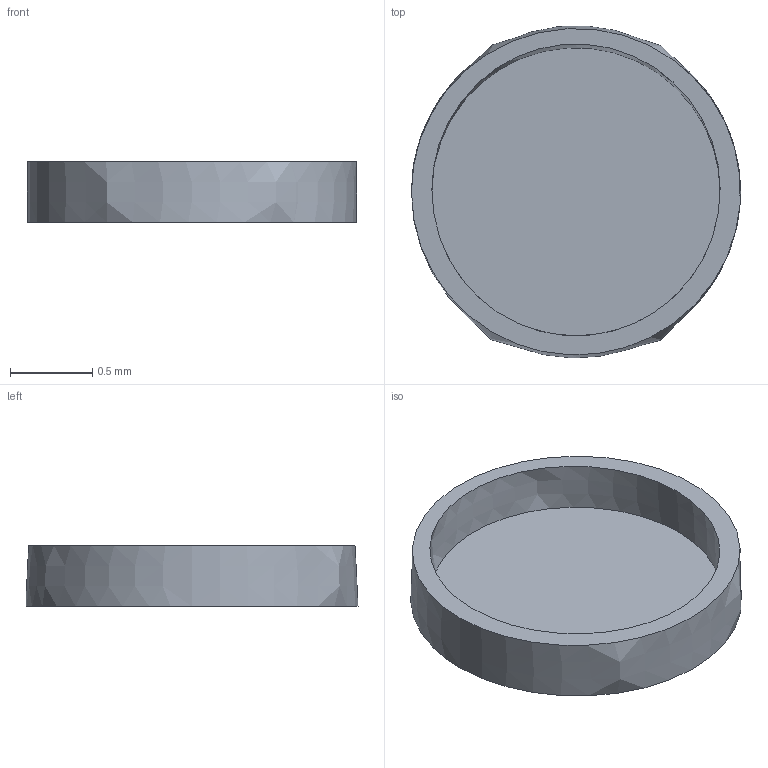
import math

import cadquery as cq

height = 0.37
floor_thickness = 0.075
radius_x = 1.0
base_radius_y = 1.01
rim_radius_y = 0.992

cavity_radius = 0.876
cavity_rim_radius_y = 0.887
cavity_rim_shift_y = 0.011

crest_swelling = {60: 0.024, 120: 0.024, 240: 0.034, 300: 0.034}
point_step = 10
height_steps = 3
seam_angle = 180

bottom_z = -height / 2
top_z = height / 2
floor_z = bottom_z + floor_thickness


def oval_wire(half_x, half_y, shift_y, z, swollen):
    """Closed oval outline, optionally enlarged at the swelling crests."""
    points = []
    for degrees in range(0, 360, point_step):
        heading = (seam_angle + degrees) % 360
        growth = 1 + crest_swelling.get(heading, 0) if swollen else 1
        angle = math.radians(heading)
        x = half_x * growth * math.cos(angle)
        y = half_y * growth * math.sin(angle) + shift_y
        points.append(cq.Vector(x, y, z))
    return cq.Wire.assembleEdges([cq.Edge.makeSpline(points, periodic=True)])


def swollen_cup(half_x, low_half_y, high_half_y, high_shift_y, low_z, high_z):
    """Solid oval drum whose wall swells at mid-height and fades back at both rims."""
    sections = []
    for level in range(height_steps + 1):
        rise = level / height_steps
        half_y = low_half_y + rise * (high_half_y - low_half_y)
        z = low_z + rise * (high_z - low_z)
        swollen = 0 < level < height_steps
        sections.append(oval_wire(half_x, half_y, rise * high_shift_y, z, swollen))
    return cq.Workplane(obj=cq.Solid.makeLoft(sections))


def outer_body():
    return swollen_cup(radius_x, base_radius_y, rim_radius_y, 0, bottom_z, top_z)


def cavity():
    return swollen_cup(
        cavity_radius, cavity_radius, cavity_rim_radius_y, cavity_rim_shift_y, floor_z, top_z
    )


result = outer_body().cut(cavity())